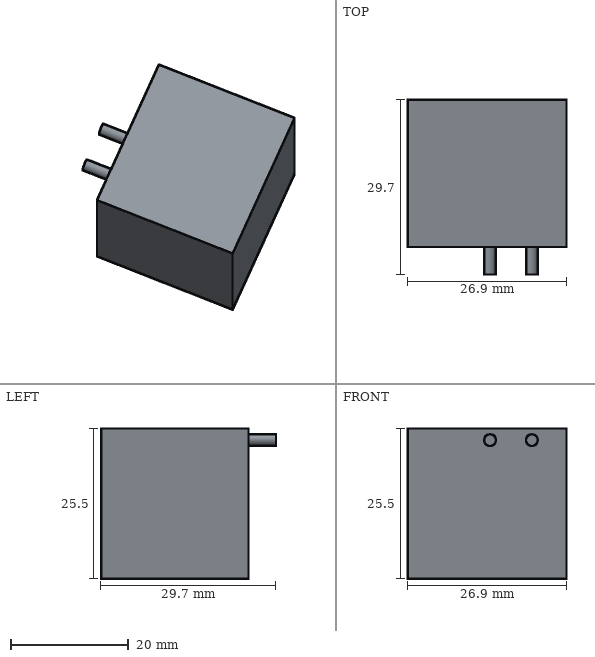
import cadquery as cq

body_width = 26.95
body_depth = 25.0
body_height = 25.5

pin_diameter = 2.0
pin_length = 4.7
pin_spacing = 7.1
first_pin_from_left = 13.95
pin_drop_from_top = 2.0


def make_body():
    """Block with its lower left front corner at the origin."""
    return cq.Workplane("XY").box(body_width, body_depth, body_height, centered=False)


def make_pins():
    """Both pins, running from the front face toward -Y."""
    pin_z = body_height - pin_drop_from_top
    pin_centers = [(first_pin_from_left + i * pin_spacing, pin_z) for i in range(2)]
    return (
        cq.Workplane("XZ")
        .pushPoints(pin_centers)
        .circle(pin_diameter / 2)
        .extrude(pin_length)
    )


result = make_body().union(make_pins())